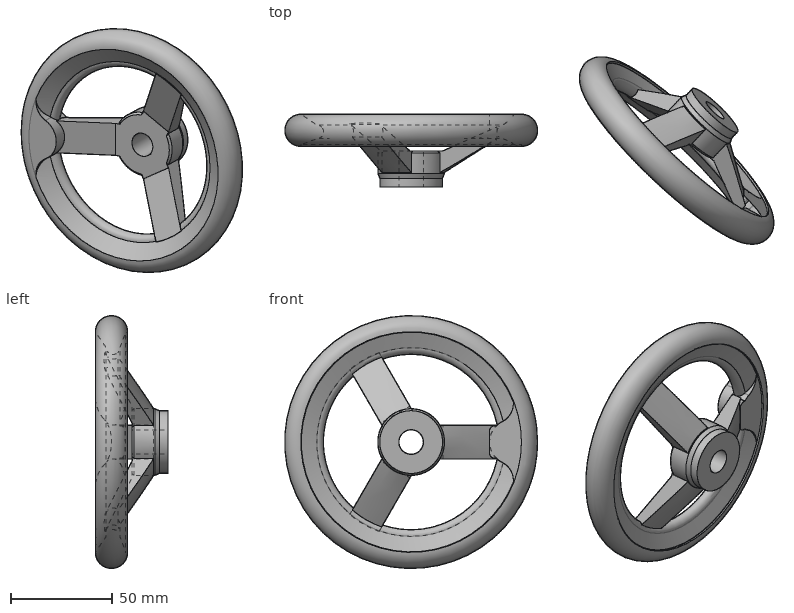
import cadquery as cq
import math

outer_radius = 62.5
rim_half_depth = 8.0
rim_radius = outer_radius - rim_half_depth

dish_step_width = 0.2
dish_step_depth = 1.0
lip_radius = 3.4
bore_of_rim = 43.2
lip_center_radius = bore_of_rim + lip_radius
lip_center_y = -0.7

hub_front_y = -28.0
collar_back_y = -23.7
hub_shoulder_y = -21.4
hub_back_y = -10.1
hub_radius = 16.5
collar_radius = 15.5
hub_chamfer = 1.0
shaft_radius = 6.0

spoke_count = 3
spoke_width = 16.7
spoke_inner_radius = 10.0
spoke_outer_radius = 46.9
spoke_reference_radius = 15.6
spoke_front_y = -21.4
spoke_rear_y = -10.1
spoke_front_slope = 0.63
spoke_rear_slope = 0.44

boss_x = 50.0
boss_radius = 11.2
boss_back_y = rim_half_depth
boss_front_y = -rim_half_depth + dish_step_depth
boss_fillet = 10.0
boss_web_x = 50.5
pad_length = 11.2
pad_width = 16.0
pad_corner = 2.5


def along_y(y_start, y_end):
    """Sketch plane facing -Y at y_start, with the matching extrusion length."""
    return cq.Workplane("XZ", origin=(0, y_start, 0)), y_start - y_end


def cylinder(x, z, radius, y_back, y_front):
    plane, length = along_y(y_back, y_front)
    return plane.center(x, z).circle(radius).extrude(length)


def revolve_about_y(profile):
    return profile.close().revolve(360, (0, 0, 0), (0, 1, 0))


def make_rim():
    dish_radius = rim_radius - dish_step_width
    dish_y = -rim_half_depth + dish_step_depth
    profile = (
        cq.Workplane("XY")
        .moveTo(rim_radius, -rim_half_depth)
        .threePointArc((outer_radius, 0), (rim_radius, rim_half_depth))
        .lineTo(lip_center_radius, lip_center_y + lip_radius)
        .threePointArc((bore_of_rim, lip_center_y), (lip_center_radius, lip_center_y - lip_radius))
        .lineTo(dish_radius, dish_y)
        .lineTo(rim_radius, dish_y)
    )
    return revolve_about_y(profile)


def make_hub():
    profile = (
        cq.Workplane("XY")
        .moveTo(0, hub_front_y)
        .lineTo(collar_radius, hub_front_y)
        .lineTo(collar_radius, collar_back_y)
        .lineTo(hub_radius, hub_shoulder_y)
        .lineTo(hub_radius, hub_back_y - hub_chamfer)
        .lineTo(hub_radius - hub_chamfer, hub_back_y)
        .lineTo(0, hub_back_y)
    )
    return revolve_about_y(profile)


def make_spoke(angle):
    """Straight-sided bar with a conical front and a flat sloping rear, turned to its angle."""
    reach = spoke_outer_radius - spoke_reference_radius
    front_end_y = spoke_front_y + spoke_front_slope * reach
    rear_end_y = spoke_rear_y + spoke_rear_slope * reach
    cone_profile = (
        cq.Workplane("XY")
        .moveTo(spoke_inner_radius, spoke_front_y)
        .lineTo(spoke_reference_radius, spoke_front_y)
        .lineTo(spoke_outer_radius, front_end_y)
        .lineTo(spoke_outer_radius, rim_half_depth)
        .lineTo(spoke_inner_radius, rim_half_depth)
    )
    bar = (
        cq.Workplane("XY")
        .moveTo(spoke_inner_radius, hub_front_y)
        .lineTo(spoke_outer_radius, hub_front_y)
        .lineTo(spoke_outer_radius, rear_end_y)
        .lineTo(spoke_reference_radius, spoke_rear_y)
        .lineTo(spoke_inner_radius, spoke_rear_y)
        .close()
        .extrude(spoke_width / 2, both=True)
    )
    spoke = revolve_about_y(cone_profile).intersect(bar)
    return spoke.rotate((0, 0, 0), (0, 1, 0), angle)


def make_handle_boss():
    """Round boss blended by tangent arcs into the rim wall on both sides."""
    fillet_x = boss_web_x - boss_fillet
    fillet_z = math.sqrt((boss_radius + boss_fillet) ** 2 - (boss_x - fillet_x) ** 2)
    touch = boss_radius / (boss_radius + boss_fillet)
    touch_x = boss_x + touch * (fillet_x - boss_x)
    touch_z = touch * fillet_z
    middle_angle = math.atan2(touch_z - fillet_z, touch_x - fillet_x) / 2
    middle_x = fillet_x + boss_fillet * math.cos(middle_angle)
    middle_z = fillet_z + boss_fillet * math.sin(middle_angle)

    plane, web_length = along_y(boss_back_y, boss_front_y)
    web = (
        plane.moveTo(boss_web_x, fillet_z)
        .threePointArc((middle_x, middle_z), (touch_x, touch_z))
        .lineTo(touch_x, -touch_z)
        .threePointArc((middle_x, -middle_z), (boss_web_x, -fillet_z))
        .lineTo(boss_web_x, -rim_radius)
        .lineTo(outer_radius, -rim_radius)
        .lineTo(outer_radius, rim_radius)
        .lineTo(boss_web_x, rim_radius)
        .close()
        .extrude(web_length)
    )
    boss = cylinder(boss_x, 0, boss_radius, boss_back_y, boss_front_y).union(web)

    pad_plane, pad_depth = along_y(0, boss_front_y)
    pad_x = boss_x - boss_radius + pad_length / 2
    pad = pad_plane.center(pad_x, 0).rect(pad_length, pad_width).extrude(pad_depth)
    boss = boss.union(pad.edges("|Y and <X").fillet(pad_corner))
    rim_limit = cylinder(0, 0, rim_radius, rim_half_depth, -rim_half_depth)
    return boss.intersect(rim_limit)


result = make_rim().union(make_hub())
for index in range(spoke_count):
    result = result.union(make_spoke(index * 360 / spoke_count))
result = result.union(make_handle_boss())
result = result.cut(cylinder(0, 0, shaft_radius, hub_back_y, hub_front_y))